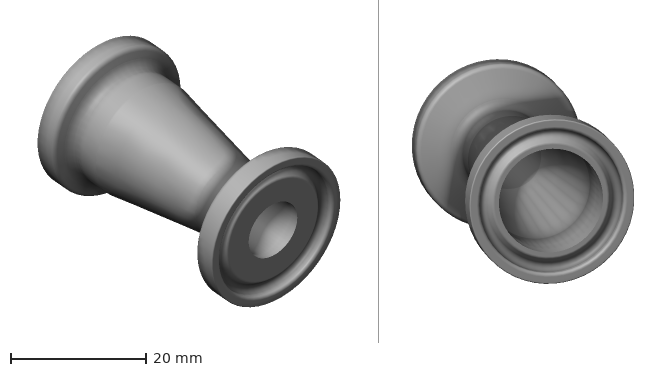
import cadquery as cq
import math

length = 40.0
flange_diameter = 25.0
flange_radius = flange_diameter / 2

large_outer = 9.5
large_bore = 7.9
small_outer = 6.35
small_bore = 4.7
taper_start = 9.85
taper_end = 29.0
taper_blend = 1.5

rim_thickness = 3.7
back_angle = math.radians(20)
rim_round = 0.9
neck_fillet = 2.0
face_round = 0.2

land_recess = 0.8
groove_outer = 10.9
groove_inner = 8.75
groove_wall_angle = math.radians(40)
groove_outer_round = 0.5
groove_bottom_round = 0.75
groove_inner_round = 0.5


def unit(vector):
    return vector.multiply(1 / vector.Length)


def rounded_outline(corners):
    """Closed XY outline from (x, y, corner radius) entries, with tangent arcs at the rounded corners."""
    points = [cq.Vector(x, y) for x, y, _ in corners]
    outline = None
    for i, (_, _, radius) in enumerate(corners):
        corner = points[i]
        back = unit(points[i - 1] - corner)
        ahead = unit(points[(i + 1) % len(points)] - corner)
        half_angle = back.getAngle(ahead) / 2
        setback = radius / math.tan(half_angle)
        start = corner + back * setback
        end = corner + ahead * setback
        if outline is None:
            outline = cq.Workplane("XY").moveTo(start.x, start.y)
        else:
            outline = outline.lineTo(start.x, start.y)
        if radius > 0:
            bisector = unit(back + ahead)
            middle = corner + bisector * (radius / math.sin(half_angle) - radius)
            outline = outline.threePointArc((middle.x, middle.y), (end.x, end.y))
    return outline.close()


def end_face(bore):
    """Half section of a flange end, from the bore edge to the back of the rim, with its face at x = 0."""
    walls_meet = land_recess + (groove_outer - groove_inner) / math.tan(groove_wall_angle)
    return [
        (land_recess, bore, 0),
        (land_recess, groove_inner, groove_inner_round),
        (walls_meet, groove_outer, groove_bottom_round),
        (0, groove_outer, groove_outer_round),
        (0, flange_radius, face_round),
        (rim_thickness, flange_radius, rim_round),
    ]


def neck_offset(tube_outer):
    """Distance from the end face to where the sloping flange back meets the tube."""
    return rim_thickness + (flange_radius - tube_outer) * math.tan(back_angle)


def flange_section(tube_outer, bore):
    return end_face(bore) + [(neck_offset(tube_outer), tube_outer, neck_fillet)]


large_end = flange_section(large_outer, large_bore)
small_end = [(length - x, y, r) for x, y, r in reversed(flange_section(small_outer, small_bore))]
outer_taper = [(taper_start, large_outer, taper_blend), (taper_end, small_outer, taper_blend)]
bore_taper = [(taper_end, small_bore, taper_blend), (taper_start, large_bore, taper_blend)]

section = rounded_outline(large_end + outer_taper + small_end + bore_taper)
result = section.revolve(360, (0, 0, 0), (1, 0, 0))